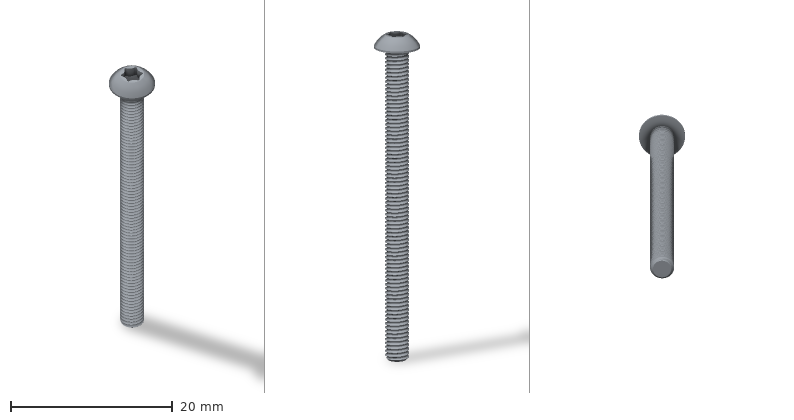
import cadquery as cq
import math

total_length = 41.65
head_height = 1.65
head_diameter = 5.7
shank_length = total_length - head_height

rim_height = 0.25
top_flat_diameter = 3.0
dome_radius = 3.12

lobe_count = 6
recess_tip_diameter = 2.7
recess_root_diameter = 2.1
first_tip_angle = 90
tip_half_angle = 4.5
recess_depth = 1.3

thread_diameter = 3.0
thread_pitch = 0.5
thread_depth = 0.3
crest_flat = thread_pitch / 8
root_flat = thread_pitch / 4
tip_chamfer = 0.37
ridge_sink = 0.05
thread_start_angle = 60
trim_margin = 0.4
crest_radius = thread_diameter / 2
core_radius = crest_radius - thread_depth


def polar(radius, degrees):
    """Point in the XY plane at the given radius and angle."""
    angle = math.radians(degrees)
    return radius * math.cos(angle), radius * math.sin(angle)


def make_head():
    """Revolved head, its dome an arc bulging outward between the rim and the top flat."""
    rim_radius = head_diameter / 2
    flat_radius = top_flat_diameter / 2
    rise = head_height - rim_height
    run = rim_radius - flat_radius
    chord = math.hypot(run, rise)
    bulge = dome_radius - math.sqrt(dome_radius**2 - (chord / 2) ** 2)
    dome_middle = (
        (rim_radius + flat_radius) / 2 + bulge * rise / chord,
        (rim_height + head_height) / 2 + bulge * run / chord,
    )
    return (
        cq.Workplane("XZ")
        .lineTo(rim_radius, 0)
        .lineTo(rim_radius, rim_height)
        .threePointArc(dome_middle, (flat_radius, head_height))
        .lineTo(0, head_height)
        .close()
        .revolve(360, (0, 0), (0, 1))
        .translate((0, 0, shank_length))
    )


def make_recess():
    """Six-pointed drive socket: narrow rounded tips joined by arcs bowed toward the axis."""
    tip_radius = recess_tip_diameter / 2
    root_radius = recess_root_diameter / 2
    lobe_angle = 360 / lobe_count
    outline = cq.Workplane("XY").moveTo(*polar(tip_radius, first_tip_angle - tip_half_angle))
    for lobe in range(lobe_count):
        tip = first_tip_angle + lobe * lobe_angle
        next_tip = tip + lobe_angle
        outline = outline.threePointArc(
            polar(tip_radius, tip), polar(tip_radius, tip + tip_half_angle)
        )
        outline = outline.threePointArc(
            polar(root_radius, tip + lobe_angle / 2), polar(tip_radius, next_tip - tip_half_angle)
        )
    recess = outline.close().extrude(recess_depth)
    return recess.translate((0, 0, total_length - recess_depth))


def make_thread_ridge():
    """Right-hand helical ridge, its foot sunk into the core, built from one ruled face per side and turn."""
    foot_radius = core_radius - ridge_sink
    crest_half = crest_flat / 2
    flank_slope = (thread_pitch - root_flat - crest_flat) / 2 / thread_depth
    foot_half = crest_half + flank_slope * (crest_radius - foot_radius)
    corners = [
        (foot_radius, -foot_half),
        (crest_radius, -crest_half),
        (crest_radius, crest_half),
        (foot_radius, foot_half),
    ]
    one_turn = [
        cq.Wire.makeHelix(thread_pitch, thread_pitch, radius, cq.Vector(0, 0, height))
        for radius, height in corners
    ]
    sides = [cq.Face.makeRuledSurface(one_turn[i - 1], one_turn[i]) for i in range(len(one_turn))]
    section = cq.Wire.makePolygon([cq.Vector(radius, 0, height) for radius, height in corners], close=True)
    cap = cq.Face.makeFromWires(section)

    first_turn = -1
    last_turn = round(shank_length / thread_pitch) + 1
    lift = cq.Vector(0, 0, thread_pitch)
    faces = [cap.translate(lift * first_turn), cap.translate(lift * last_turn)]
    for turn in range(first_turn, last_turn):
        faces += [side.translate(lift * turn) for side in sides]
    ridge = cq.Workplane(cq.Solid.makeSolid(cq.Shell.makeShell(faces)))
    return ridge.rotate((0, 0, 0), (0, 0, 1), thread_start_angle)


def make_tip_trim():
    """Revolved cutter that clears everything below the tip face and bevels its edge."""
    outside = crest_radius + trim_margin
    tip_radius = crest_radius - tip_chamfer
    below = -2 * thread_pitch
    return (
        cq.Workplane("XZ")
        .moveTo(0, 0)
        .lineTo(tip_radius, 0)
        .lineTo(outside, outside - tip_radius)
        .lineTo(outside, below)
        .lineTo(0, below)
        .close()
        .revolve(360, (0, 0), (0, 1))
    )


def make_shank():
    """Core with the helical ridge, trimmed to a bevelled tip."""
    core = cq.Workplane("XY").workplane(offset=-thread_pitch).circle(core_radius)
    core = core.extrude(shank_length + thread_pitch)
    return core.union(make_thread_ridge()).cut(make_tip_trim())


result = make_shank().union(make_head()).cut(make_recess())